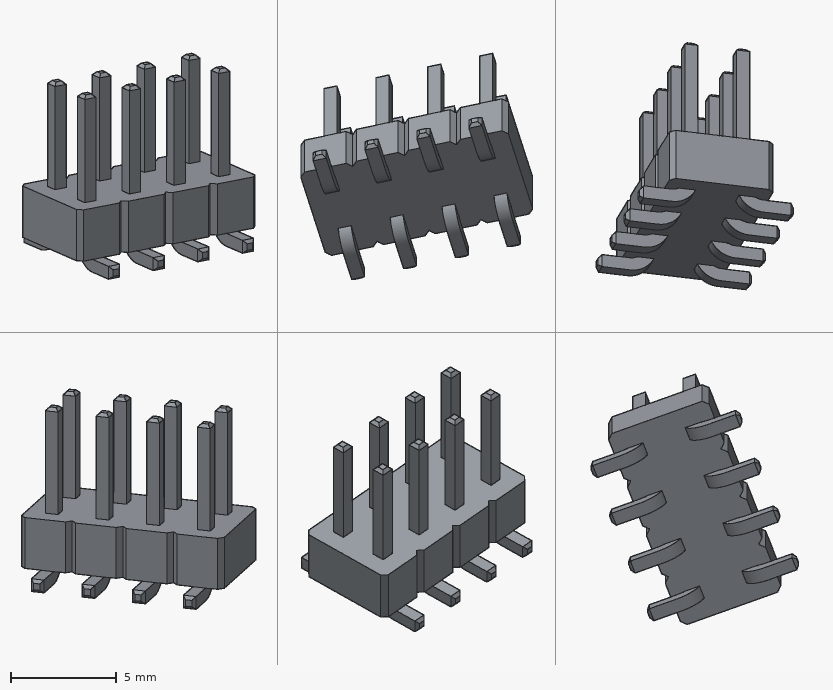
import cadquery as cq
import math


pitch = 2.54
rows_along_y = 4
total_width = 7.54
total_height = 8.54
pin_size = 0.64
foot_gap = 0.1

housing_width = 2 * pitch
housing_height = pitch
housing_bottom = pin_size + foot_gap
corner_chamfer = pitch / 10

tip_chamfer = pin_size / 4
bend_inner_radius = pin_size
bend_outer_radius = bend_inner_radius + pin_size
pin_inner_x = pitch / 2 - pin_size / 2
pin_outer_x = pin_inner_x + pin_size
foot_tip_x = total_width / 2
bend_center_x = pin_inner_x + bend_outer_radius
bend_center_z = bend_outer_radius

row_positions = [(row - (rows_along_y - 1) / 2) * pitch for row in range(rows_along_y)]


def housing_cell(y):
    """One chamfered housing segment holding a pair of pins."""
    return (
        cq.Workplane("XY", origin=(0, y, housing_bottom))
        .box(housing_width, pitch, housing_height, centered=(True, True, False))
        .edges("|Z")
        .chamfer(corner_chamfer)
    )


def bent_pin(y):
    """Square pin on the +X side, bent outward into a foot, with tapered tips."""
    diagonal = math.sqrt(0.5)
    outer_bend_middle = (
        bend_center_x - bend_outer_radius * diagonal,
        bend_center_z - bend_outer_radius * diagonal,
    )
    inner_bend_middle = (
        bend_center_x - bend_inner_radius * diagonal,
        bend_center_z - bend_inner_radius * diagonal,
    )
    return (
        cq.Workplane("XZ", origin=(0, y + pin_size / 2, 0))
        .moveTo(pin_inner_x, total_height)
        .lineTo(pin_inner_x, bend_center_z)
        .threePointArc(outer_bend_middle, (bend_center_x, 0))
        .lineTo(foot_tip_x, 0)
        .lineTo(foot_tip_x, pin_size)
        .lineTo(bend_center_x, pin_size)
        .threePointArc(inner_bend_middle, (pin_outer_x, bend_center_z))
        .lineTo(pin_outer_x, total_height)
        .close()
        .extrude(pin_size)
        .faces(">Z or >X")
        .edges()
        .chamfer(tip_chamfer)
    )


result = housing_cell(row_positions[0])
for row_y in row_positions[1:]:
    result = result.union(housing_cell(row_y))

for row_y in row_positions:
    pin = bent_pin(row_y)
    result = result.union(pin).union(pin.mirror("YZ"))

result = result.clean()